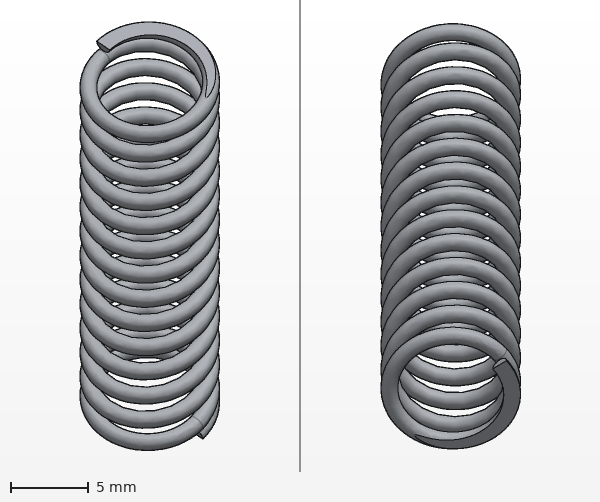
import cadquery as cq

OUTER_DIAMETER = 9.0
FREE_LENGTH = 35.0
WIRE_DIAMETER = 1.1
ACTIVE_TURNS = 12.5
END_TURNS = 1.0
END_PITCH = 1.21

FULL_TURN = 360.0

COIL_RADIUS = (OUTER_DIAMETER - WIRE_DIAMETER) / 2
END_HEIGHT = END_TURNS * END_PITCH
ACTIVE_HEIGHT = FREE_LENGTH - 2 * END_HEIGHT
ACTIVE_PITCH = ACTIVE_HEIGHT / ACTIVE_TURNS


def coil(pitch, height, base_z, start_angle=0.0):
    """Right-handed coil whose wire is round in the radial plane, starting at start_angle from +X."""
    path = cq.Workplane(cq.Wire.makeHelix(pitch, height, COIL_RADIUS))
    wire_section = cq.Workplane("XZ").center(COIL_RADIUS, 0).circle(WIRE_DIAMETER / 2)
    body = wire_section.sweep(path, isFrenet=True)
    return body.rotate((0, 0, 0), (0, 0, 1), start_angle).translate((0, 0, base_z))


def spring():
    """Closed bottom turn, active coils and closed top turn joined end to end."""
    active_start = FULL_TURN * END_TURNS
    top_start = active_start + FULL_TURN * ACTIVE_TURNS
    bottom_turn = coil(END_PITCH, END_HEIGHT, 0)
    active_coils = coil(ACTIVE_PITCH, ACTIVE_HEIGHT, END_HEIGHT, active_start)
    top_turn = coil(END_PITCH, END_HEIGHT, FREE_LENGTH - END_HEIGHT, top_start)
    return bottom_turn.union(active_coils).union(top_turn)


def ground_ends(body):
    """Grind both end turns flat, halfway through the wire at its tips."""
    envelope_radius = OUTER_DIAMETER
    envelope = cq.Workplane("XY").circle(envelope_radius).extrude(FREE_LENGTH)
    return body.intersect(envelope)


result = ground_ends(spring())